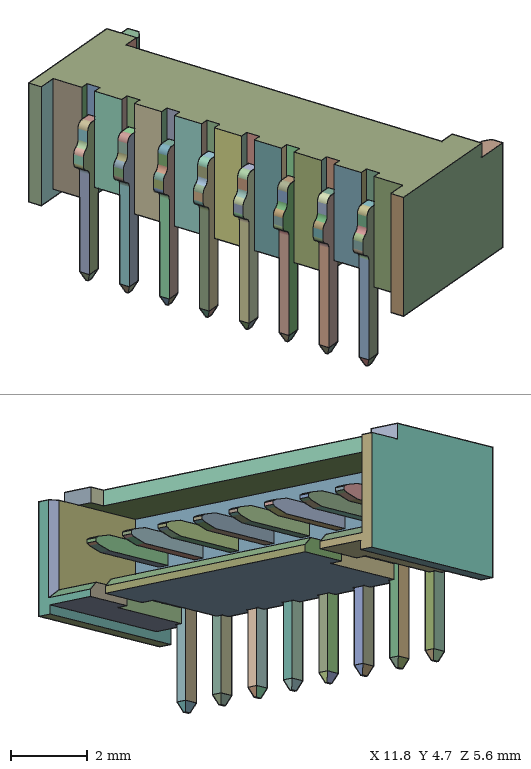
import cadquery as cq
import math


length = 11.75
depth = 4.7
height = 3.5
cheek_thickness = 0.4
rear_face = 0.56
underside = 0.25
floor_thickness = 0.42
roof_thickness = 0.42
rear_wall_thickness = 0.94
end_wall_thickness = 0.5

end_wall_setback = 1.0
roof_setback = 1.49
roof_tab_width = 0.93
lead_in_depth = 0.22
lead_in_side = 0.15
lead_in_floor = lead_in_depth

pin_count = 8
pin_span = 8.75
pitch = pin_span / (pin_count - 1)
pin_positions = [i * pitch - pin_span / 2 for i in range(pin_count)]
pin_width = 0.3
pin_thickness = 0.42
notch_width = 0.4
notch_depth = 0.25

slot_width = 0.53
outer_gap_center = (pin_span - pitch) / 2
slot_shift = 0.04
opening_setback = 1.42

leg_inner = rear_face + notch_depth
leg_outer = leg_inner - pin_thickness
tail_length = 2.1
tail_tip_length = 0.27
tail_tip_width = 0.07
tail_tip_thickness = 0.19

bend_radius = 0.2
bend_angle = math.radians(60)
pin_top = height - 0.89
bump_nose = 0.1
upper_flat_end = 2.08
nose_flat_end = 1.48

contact_setback = 0.4
contact_slope_length = 0.42
contact_slope_drop = 0.1
contact_tip_length = 0.1
contact_tip_drop = 0.06

floor_top = underside + floor_thickness
roof_bottom = height - roof_thickness
cavity_rear = rear_face + rear_wall_thickness
cavity_width = length - 2 * end_wall_thickness


def block(width, y_start, y_end, z_start, z_end, x_center=0.0):
    """Box centred on x_center that spans the given Y and Z ranges."""
    return cq.Workplane("XY").box(
        width, y_end - y_start, z_end - z_start, centered=(True, False, False)
    ).translate((x_center, y_start, z_start))


def mouth_section(sketch, flare_side, flare_floor):
    """Rectangle of the cavity mouth, widened at the sides and lowered at the floor."""
    half_width = cavity_width / 2 + flare_side
    bottom = floor_top - flare_floor
    return sketch.polyline([
        (-half_width, bottom),
        (half_width, bottom),
        (half_width, height),
        (-half_width, height),
    ]).close()


def mouth_lead_in():
    """Flared mouth of the cavity, widening toward the sides and the floor."""
    inner_plane = cq.Workplane("XZ", origin=(0, depth - lead_in_depth, 0))
    inner_section = mouth_section(inner_plane, 0, 0)
    outer_plane = inner_section.workplane(offset=-lead_in_depth)
    return mouth_section(outer_plane, lead_in_side, lead_in_floor).loft(ruled=True)


def housing():
    """Open-fronted box with end cheeks, stepped mouth, pin notches and floor openings."""
    inner_width = length - 2 * cheek_thickness
    roof_recess_width = length - 2 * roof_tab_width
    end_wall_step = depth - end_wall_setback
    roof_edge = depth - roof_setback
    body = block(length, 0, depth, 0, height)
    body = body.cut(block(inner_width, 0, rear_face, 0, height))
    body = body.cut(block(inner_width, 0, depth, 0, underside))
    body = body.cut(block(cavity_width, cavity_rear, depth, floor_top, roof_bottom))
    body = body.cut(block(length, end_wall_step, depth, roof_bottom, height))
    body = body.cut(block(roof_recess_width, roof_edge, depth, roof_bottom, height))
    body = body.cut(mouth_lead_in())
    opening_end = depth - opening_setback
    for side in (-1, 1):
        opening_x = side * outer_gap_center
        slot_x = side * (outer_gap_center + slot_shift)
        body = body.cut(block(pitch, 0, opening_end, 0, floor_top, opening_x))
        body = body.cut(block(slot_width, opening_end, depth, 0, floor_top, slot_x))
    for x in pin_positions:
        body = body.cut(block(notch_width, rear_face, leg_inner, 0, height, x))
    return body


def pin_leg():
    """Leg with two rounded bumps on its outer side and a pointed tail."""
    upper_face = bump_nose + 2 * bend_radius * (1 - math.cos(bend_angle))
    half_bend = math.radians(45)
    upper_bend_mid = (
        upper_face + bend_radius * (1 - math.cos(half_bend)),
        pin_top - bend_radius * (1 - math.sin(half_bend)),
    )
    out_step = bend_radius * math.sin(bend_angle)
    out_middle = ((upper_face + bump_nose) / 2, upper_flat_end - out_step)
    return_angle = math.acos(1 - (leg_outer - bump_nose) / 2 / bend_radius)
    return_step = bend_radius * math.sin(return_angle)
    return_middle = ((leg_outer + bump_nose) / 2, nose_flat_end - return_step)
    tail_shoulder = tail_tip_length - tail_length

    leg = (
        cq.Workplane("YZ", origin=(-pin_width / 2, 0, 0))
        .moveTo(leg_inner, tail_shoulder)
        .lineTo(leg_inner, pin_top)
        .lineTo(upper_face + bend_radius, pin_top)
        .threePointArc(upper_bend_mid, (upper_face, pin_top - bend_radius))
        .lineTo(upper_face, upper_flat_end)
        .tangentArcPoint(out_middle, relative=False)
        .tangentArcPoint((bump_nose, upper_flat_end - 2 * out_step), relative=False)
        .lineTo(bump_nose, nose_flat_end)
        .tangentArcPoint(return_middle, relative=False)
        .tangentArcPoint((leg_outer, nose_flat_end - 2 * return_step), relative=False)
        .lineTo(leg_outer, tail_shoulder)
        .close()
        .extrude(pin_width)
    )
    tip = (
        cq.Workplane("XY", origin=(0, (leg_inner + leg_outer) / 2, -tail_length))
        .rect(tail_tip_width, tail_tip_thickness)
        .workplane(offset=tail_tip_length)
        .rect(pin_width, pin_thickness)
        .loft(ruled=True)
    )
    return leg.union(tip)


def pin_contact():
    """Straight contact through the rear wall, tapered above and below at its free end."""
    middle = (floor_top + roof_bottom) / 2
    tip = depth - contact_setback
    tip_start = tip - contact_tip_length
    slope_start = tip_start - contact_slope_length
    half = pin_thickness / 2
    upper = [
        (leg_outer, half),
        (slope_start, half),
        (tip_start, half - contact_slope_drop),
        (tip, half - contact_slope_drop - contact_tip_drop),
    ]
    lower = [(y, -z) for y, z in reversed(upper)]
    return (
        cq.Workplane("YZ", origin=(-pin_width / 2, 0, middle))
        .polyline(upper + lower)
        .close()
        .extrude(pin_width)
    )


pin = pin_leg().union(pin_contact())

result = housing()
for x in pin_positions:
    result = result.union(pin.translate((x, 0, 0)))